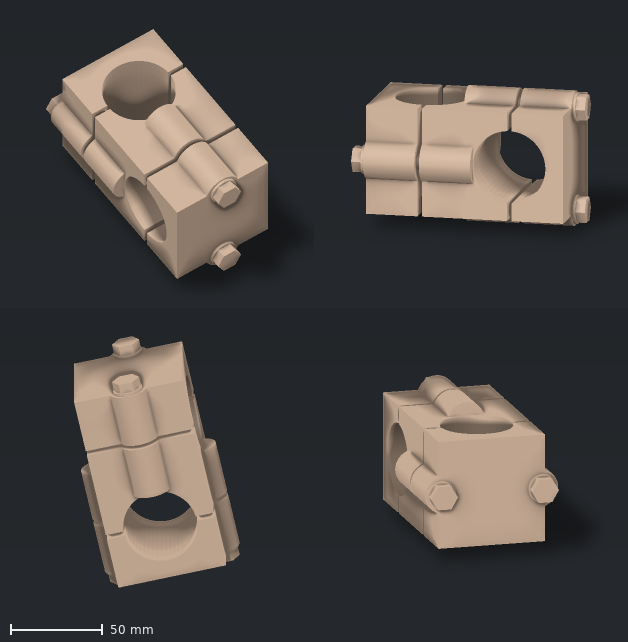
import cadquery as cq
import math

overall_length = 123.8
lug_span = 75.0

block_length = 110.0
block_side = 60.0
bore_diameter = 40.2
bore_offset = 25.0
slit_width = 2.6

lug_radius = 10.5
lug_flank_angle = 60.0
lug_bore_clearance = 0.1
lug_root_depth = 2.5

bolt_spacing = 57.1
shank_diameter = 8.0
washer_diameter = 16.0
washer_thickness = 1.6
hex_across_flats = 13.0
hex_half_step = 30.0
shank_end_cover = 9.9
head_height = (overall_length - block_length) / 2 - washer_thickness

block_end = block_length / 2
lug_length = block_end + bore_offset - bore_diameter / 2 - lug_bore_clearance
shank_length = washer_thickness + lug_length - shank_end_cover


def make_lug():
    """Lug on the +Y face, running inward from the -X end of the block."""
    angle = math.radians(lug_flank_angle)
    crest = lug_span / 2
    root = block_side / 2 - lug_root_depth
    flank_start_y = crest - lug_radius * (1 - math.cos(angle))
    flank_start_z = lug_radius * math.sin(angle)
    root_half_width = flank_start_z + (flank_start_y - root) / math.tan(angle)
    return (
        cq.Workplane("YZ", origin=(-block_end, 0, 0))
        .moveTo(root, -root_half_width)
        .lineTo(flank_start_y, -flank_start_z)
        .threePointArc((crest, 0), (flank_start_y, flank_start_z))
        .lineTo(root, root_half_width)
        .close()
        .extrude(lug_length)
    )


def make_bolt(hex_turn):
    """Bolt beside the +Y face, with washer and hex head outside the -X end.

    hex_turn rotates the head; at zero a corner of the hex points along Y.
    """
    axis_y = bolt_spacing / 2
    washer_face = -block_end - washer_thickness
    seat = cq.Workplane("YZ", origin=(washer_face, axis_y, 0))
    washer = seat.circle(washer_diameter / 2).extrude(washer_thickness)
    shank = seat.circle(shank_diameter / 2).extrude(shank_length)
    across_corners = hex_across_flats / math.cos(math.radians(hex_half_step))
    turned_seat = seat.transformed(rotate=(0, 0, hex_turn))
    head = turned_seat.polygon(6, across_corners).extrude(-head_height)
    return washer.union(shank).union(head)


def make_bore_and_slit():
    """Vertical bore of the -X clamp and the slit that splits it along Y."""
    bore = cq.Workplane("XY").circle(bore_diameter / 2).extrude(block_side, both=True)
    slit = cq.Workplane("XY").box(slit_width, 2 * block_side, 2 * block_side)
    return bore.union(slit).translate((-bore_offset, 0, 0))


def both_sides(shape):
    """Add the copy mirrored to the -Y face."""
    return shape.union(shape.mirror("XZ"))


def to_other_clamp(shape):
    """Move a -X clamp feature to the +X clamp, whose bore runs along Y."""
    return shape.mirror("YZ").rotate((0, 0, 0), (1, 0, 0), 90)


lugs = both_sides(make_lug())
cutter = make_bore_and_slit()

body = cq.Workplane("XY").box(block_length, block_side, block_side)
body = body.union(lugs).union(to_other_clamp(lugs))
body = body.cut(cutter).cut(to_other_clamp(cutter))

side_bolts = both_sides(make_bolt(hex_turn=0))
upper_lower_bolts = to_other_clamp(both_sides(make_bolt(hex_half_step)))

result = body.union(side_bolts).union(upper_lower_bolts)